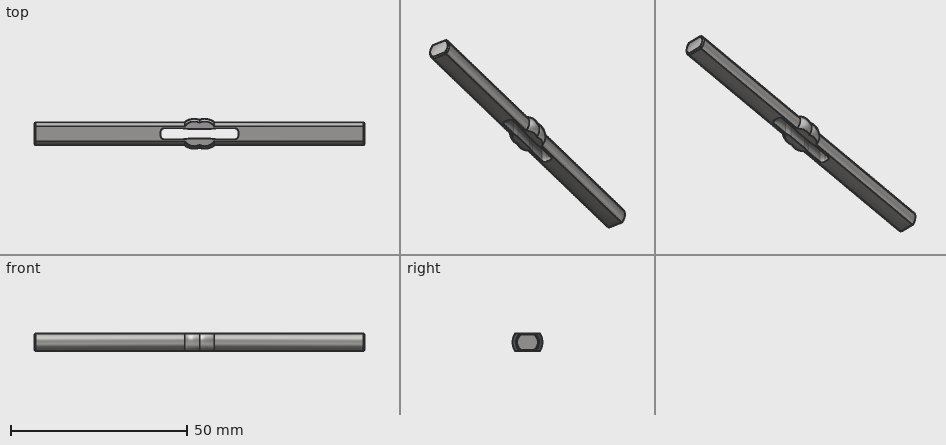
import cadquery as cq
import math

bar_length = 93.75
bar_diameter = 6.6
flat_height = 5.0
end_chamfer = 0.4

collar_half_length = 4.2
collar_peak_radius = 4.285
hump_peak_x = 1.5

slot_length = 22.0
slot_width = 3.1
slot_corner_radius = 1.0
throat_width = 2.65
throat_half_length = 3.0
throat_taper_end = 5.0

bar_radius = bar_diameter / 2


def make_flat_envelope():
    """Block that keeps the material between the top and bottom flats."""
    return cq.Workplane("XY").box(bar_length, 2 * collar_peak_radius, flat_height)


def make_rod():
    """Rod with its two flats and chamfered ends."""
    round_rod = cq.Workplane("YZ").circle(bar_radius).extrude(bar_length / 2, both=True)
    flat_rod = round_rod.intersect(make_flat_envelope())
    return flat_rod.faces("<X or >X").chamfer(end_chamfer)


def make_collar():
    """Two humps meeting in a shallow waist, revolved about the bar's axis and cut to the flats."""
    rim_drop = collar_peak_radius - bar_radius
    rim_span = collar_half_length - hump_peak_x
    hump_radius = (rim_span**2 + rim_drop**2) / (2 * rim_drop)
    waist_drop = hump_radius - math.sqrt(hump_radius**2 - hump_peak_x**2)
    waist_radius = collar_peak_radius - waist_drop
    profile = (
        cq.Workplane("XY")
        .moveTo(-collar_half_length, 0)
        .lineTo(-collar_half_length, bar_radius)
        .threePointArc((-hump_peak_x, collar_peak_radius), (0, waist_radius))
        .threePointArc((hump_peak_x, collar_peak_radius), (collar_half_length, bar_radius))
        .lineTo(collar_half_length, 0)
        .close()
    )
    swelling = profile.revolve(360, (0, 0, 0), (1, 0, 0))
    return swelling.intersect(make_flat_envelope())


def make_throat_pad(side):
    """Tapered pad that narrows the slot from one side wall."""
    wall_y = side * slot_width / 2
    pad_y = side * throat_width / 2
    return (
        cq.Workplane("XY")
        .workplane(offset=-flat_height / 2)
        .polyline([
            (-throat_taper_end, wall_y),
            (-throat_half_length, pad_y),
            (throat_half_length, pad_y),
            (throat_taper_end, wall_y),
        ])
        .close()
        .extrude(flat_height)
    )


def make_slot():
    """Opening with rounded corners, narrowed to a throat between two tapered pads."""
    opening = (
        cq.Workplane("XY")
        .box(slot_length, slot_width, flat_height)
        .edges("|Z")
        .fillet(slot_corner_radius)
    )
    for side in (-1, 1):
        opening = opening.cut(make_throat_pad(side))
    return opening


result = make_rod().union(make_collar()).cut(make_slot())